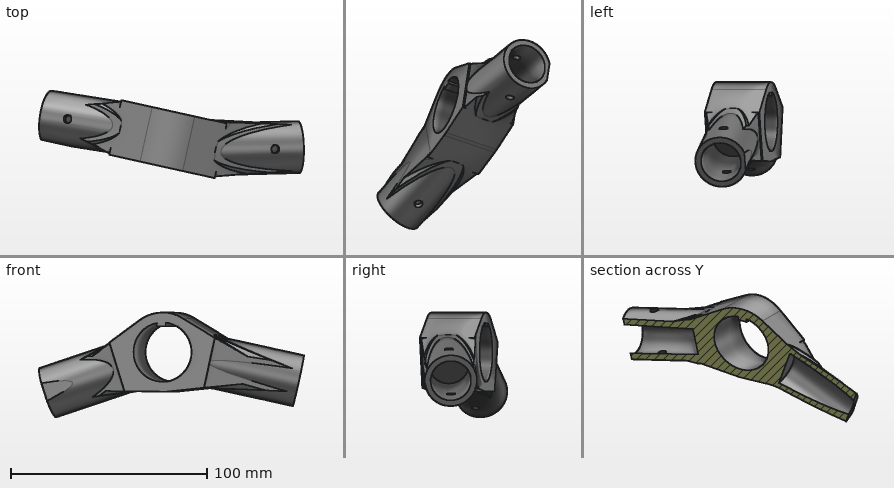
import cadquery as cq
import math

HUB_TURN = -12.5
HUB_DEPTH = 28.55
HUB_FRONT = -13.95
HUB_RADIUS = 20.2
BORE_DIAMETER = 30.2
KEY_WIDTH = 4.6
KEY_OFFSET = -0.6
KEY_DEPTH = 2.0

SEAT_DISTANCE = 25.0
SEAT_HALF_HEIGHT = 13.0

TUBE_DIAMETER = 26.55
SOCKET_DIAMETER = 20.55
SOCKET_DEPTH = 40.0
TUBE_START = 20.0
PIN_DIAMETER = 4.2
PIN_FROM_END = 15.0

ROOT_INSET = 3.0
ROOT_HALF_HEIGHT = 13.3
ROOT_CROWN = 0.7

SWELL = 1.2

LEFT = dict(
    side=-1, seat_drop=17.5, heading=9.0, drop=18.6, offset=2.25,
    end=65.4, blend_end=43.0, corner_angle=49.0,
)
RIGHT = dict(
    side=1, seat_drop=12.5, heading=1.5, drop=12.4, offset=-5.4,
    end=67.85, blend_end=63.0, corner_angle=27.0,
)


def turn_with_hub(shape):
    return shape.rotate((0, 0, 0), (0, 0, 1), HUB_TURN)


def rim_point(degrees):
    angle = math.radians(degrees)
    return (HUB_RADIUS * math.cos(angle), HUB_RADIUS * math.sin(angle))


def seat_corner(arm, height):
    """Point of the hub outline at a signed height along the seat."""
    drop = math.radians(arm["seat_drop"])
    out = SEAT_DISTANCE * math.cos(drop) + height * math.sin(drop)
    up = height * math.cos(drop) - SEAT_DISTANCE * math.sin(drop)
    return (arm["side"] * out, up)


def tangent_point(corner, sense):
    """Where the line from a corner touches the rim; sense +1 is counter-clockwise of the corner."""
    bearing = math.degrees(math.atan2(corner[1], corner[0]))
    spread = math.degrees(math.acos(HUB_RADIUS / math.hypot(*corner)))
    return rim_point(bearing + sense * spread)


def hub():
    """Plate with a rim arc at top and bottom and straight tangents to the seats."""
    left_top = seat_corner(LEFT, SEAT_HALF_HEIGHT)
    left_bottom = seat_corner(LEFT, -SEAT_HALF_HEIGHT)
    right_top = seat_corner(RIGHT, SEAT_HALF_HEIGHT)
    right_bottom = seat_corner(RIGHT, -SEAT_HALF_HEIGHT)
    bottom_left = tangent_point(left_bottom, 1)
    bottom_right = tangent_point(right_bottom, -1)
    plate = (
        cq.Workplane("XZ", origin=(0, HUB_FRONT, 0))
        .moveTo(*right_top)
        .lineTo(*tangent_point(right_top, 1))
        .threePointArc(rim_point(90), tangent_point(left_top, -1))
        .lineTo(*left_top)
        .lineTo(*left_bottom)
        .lineTo(*bottom_left)
        .radiusArc(bottom_right, -HUB_RADIUS)
        .lineTo(*right_bottom)
        .close()
        .extrude(-HUB_DEPTH)
    )
    return turn_with_hub(plate)


def keyed_bore():
    """Cutter for the through bore, leaving a key standing in at the top."""
    cut_length = 3 * HUB_DEPTH
    bore = cq.Workplane("XZ").circle(BORE_DIAMETER / 2).extrude(cut_length, both=True)
    key = (
        cq.Workplane("XZ")
        .center(KEY_OFFSET, BORE_DIAMETER / 2)
        .rect(KEY_WIDTH, 2 * KEY_DEPTH)
        .extrude(cut_length, both=True)
    )
    return turn_with_hub(bore.cut(key))


def rearward():
    """Unit vector along the hub depth, from front to back."""
    turn = math.radians(HUB_TURN)
    return cq.Vector(-math.sin(turn), math.cos(turn), 0)


def tube_plane(arm, distance):
    """Plane square to the tube axis, rolled so that its local X follows the hub depth."""
    forward = cq.Vector(
        arm["side"],
        math.tan(math.radians(arm["heading"])),
        -math.tan(math.radians(arm["drop"])),
    ).normalized()
    across = rearward() - forward * rearward().dot(forward)
    origin = cq.Vector(0, arm["offset"], 0) + forward * distance
    return cq.Plane(origin=origin, xDir=across, normal=forward)


def seat_plane(arm, distance):
    """Plane parallel to the hub seat, centred on it: local X is rearward along the hub depth."""
    drop = math.radians(arm["seat_drop"])
    turn = math.radians(HUB_TURN)
    along = cq.Vector(math.cos(turn), math.sin(turn), 0)
    outward = along * (arm["side"] * math.cos(drop)) - cq.Vector(0, 0, math.sin(drop))
    origin = outward * distance + rearward() * (HUB_FRONT + HUB_DEPTH / 2)
    return cq.Plane(origin=origin, xDir=rearward(), normal=outward)


def tube(arm, extra_radius=0):
    length = arm["end"] - TUBE_START
    return cq.Workplane(tube_plane(arm, TUBE_START)).circle(TUBE_DIAMETER / 2 + extra_radius).extrude(length)


def crossing(a, b, c, d):
    """Crossing point of the line through a and b with the line through c and d."""
    ab = (b[0] - a[0], b[1] - a[1])
    cd = (d[0] - c[0], d[1] - c[1])
    share = ((c[0] - a[0]) * cd[1] - (c[1] - a[1]) * cd[0]) / (ab[0] * cd[1] - ab[1] * cd[0])
    return (a[0] + share * ab[0], a[1] + share * ab[1])


def extended_faces(arm):
    """Wedge between the hub's top and bottom faces, carried on outward until they meet."""
    top = seat_corner(arm, SEAT_HALF_HEIGHT)
    bottom = seat_corner(arm, -SEAT_HALF_HEIGHT)
    top_touch = tangent_point(top, arm["side"])
    bottom_touch = tangent_point(bottom, -arm["side"])
    tip = crossing(top_touch, top, bottom_touch, bottom)
    wedge = cq.Workplane("XZ").polyline([top_touch, tip, bottom_touch]).close()
    return turn_with_hub(wedge.extrude(2 * HUB_DEPTH, both=True))


def transition_root(arm):
    """Closed outline inside the hub, as deep as the hub, with crowned top and bottom edges."""
    half_width = HUB_DEPTH / 2
    return (
        cq.Workplane(seat_plane(arm, SEAT_DISTANCE - ROOT_INSET))
        .moveTo(half_width, ROOT_HALF_HEIGHT)
        .threePointArc((0, ROOT_HALF_HEIGHT + ROOT_CROWN), (-half_width, ROOT_HALF_HEIGHT))
        .lineTo(-half_width, -ROOT_HALF_HEIGHT)
        .threePointArc((0, -ROOT_HALF_HEIGHT - ROOT_CROWN), (half_width, -ROOT_HALF_HEIGHT))
        .close()
        .val()
    )


def transition(arm):
    """Tapers the hub into the tube: its corners run out on the tube wall, its sides sink below it."""
    corner = math.radians(arm["corner_angle"])
    width = TUBE_DIAMETER * math.cos(corner)
    height = TUBE_DIAMETER * math.sin(corner)
    tip = cq.Workplane(tube_plane(arm, arm["blend_end"])).rect(width, height).wires().val()
    taper = cq.Workplane(cq.Solid.makeLoft([transition_root(arm), tip], True))
    return taper.intersect(extended_faces(arm).union(tube(arm, SWELL)))


def socket_bore(arm):
    bottom = tube_plane(arm, arm["end"] - SOCKET_DEPTH)
    return cq.Workplane(bottom).circle(SOCKET_DIAMETER / 2).extrude(SOCKET_DEPTH)


def pin_hole(arm):
    """Cross hole from top to bottom through both walls of the tube."""
    across = tube_plane(arm, arm["end"] - PIN_FROM_END)
    plane = cq.Plane(origin=across.origin, xDir=across.zDir, normal=across.yDir)
    return cq.Workplane(plane).circle(PIN_DIAMETER / 2).extrude(TUBE_DIAMETER, both=True)


def front_flat():
    """Everything ahead of the hub front face; it shaves a flat on the left tube."""
    reach = 4 * SEAT_DISTANCE
    ahead = cq.Workplane("XZ", origin=(0, HUB_FRONT, 0)).rect(2 * reach, 2 * reach).extrude(reach)
    return turn_with_hub(ahead)


body = hub()
for arm in (LEFT, RIGHT):
    body = body.union(tube(arm)).union(transition(arm))
for arm in (LEFT, RIGHT):
    body = body.cut(socket_bore(arm)).cut(pin_hole(arm))
result = body.cut(keyed_bore()).cut(front_flat())